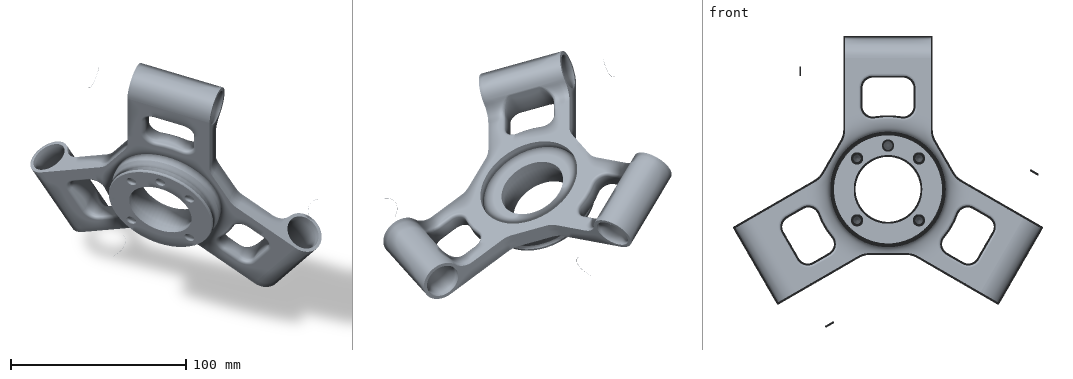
import cadquery as cq
import math

span = 175.7
arm_count = 3
arm_angles = [index * 360.0 / arm_count for index in range(arm_count)]
lower_arm_slope = math.radians(arm_angles[1] - 90)

arm_width = 50.0
plate_thickness = 10.0
tube_diameter = 24.0
tube_radius = tube_diameter / 2
bore_radius = 10.0
blend_radius = 10.0
tip_distance = (span / 2 - arm_width / 2 * math.sin(lower_arm_slope)) / math.cos(lower_arm_slope)
tube_distance = tip_distance - tube_radius

web_inradius = 36.9
web_fillet = 12.5

window_width = 30.0
window_top = 64.1
window_bottom_radius = 41.8
window_corner = 6.3
window_round = 1.8

hub_radius = 32.5
hub_straight = 5.0
groove_radius = 29.9
groove_start = hub_straight + hub_radius - groove_radius
groove_end = 10.5
rim_radius = 31.6
rim_back_taper = 0.9
hub_length = 13.0
rim_front_chamfer = 0.4

hub_bore_radius = 19.0
recess_radius = groove_radius
recess_depth = 5.1

hole_circle_radius = 25.0
screw_count = 4
first_screw_angle = 45.0
screw_radius = 2.6
screw_depth = 10.0
screw_chamfer = 0.4
drill_tip_angle = 118.0
pin_radius = 3.0
pin_depth = 10.0

strip_offset = arm_width
strip_size = 0.09
strip_half_angle = 58.0


def turned(body, angle):
    """The body turned about the hub axis."""
    return body.rotate((0, 0, 0), (0, 1, 0), angle)


def make_arm():
    """Arm pointing along +Z: a flat plate that blends into a tube at its tip."""
    blend_drop = tube_radius + blend_radius
    blend_y = plate_thickness + blend_radius
    blend_z = tube_distance - math.sqrt(blend_drop**2 - (blend_y - tube_radius) ** 2)
    share = tube_radius / blend_drop
    tangent_y = tube_radius + (blend_y - tube_radius) * share
    tangent_z = tube_distance + (blend_z - tube_distance) * share
    to_tube = math.atan2(tangent_z - blend_z, tangent_y - blend_y)
    to_plate = math.pi
    middle = (to_tube + to_plate) / 2
    blend_middle = (blend_y + blend_radius * math.cos(middle), blend_z + blend_radius * math.sin(middle))
    return (
        cq.Workplane("YZ")
        .moveTo(0, 0)
        .lineTo(0, tube_distance)
        .threePointArc((tube_radius, tip_distance), (tangent_y, tangent_z))
        .threePointArc(blend_middle, (blend_y - blend_radius, blend_z))
        .lineTo(plate_thickness, 0)
        .close()
        .extrude(arm_width / 2, both=True)
    )


def make_web():
    """Triangular plate with a corner along each arm and a flat between each pair of arms."""
    corner_radius = 2 * web_inradius
    corners = [
        (corner_radius * math.sin(math.radians(angle)), corner_radius * math.cos(math.radians(angle)))
        for angle in arm_angles
    ]
    return cq.Workplane("XZ").polyline(corners).close().extrude(-plate_thickness)


def fillet_web_corners(plate):
    """Round the concave edges where the arm sides meet the web."""
    corner_z = (web_inradius - arm_width / 2 * math.cos(lower_arm_slope)) / math.sin(lower_arm_slope)
    distance = math.hypot(arm_width / 2, corner_z)
    margin = 0.02

    def is_corner(edge):
        center = edge.Center()
        return abs(math.hypot(center.x, center.z) - distance) < margin

    edges = [edge for edge in plate.edges("|Y").vals() if is_corner(edge)]
    return plate.newObject(edges).fillet(web_fillet)


def make_window():
    """Cutter for a rounded window whose inner side is concentric with the hub."""
    depth = 2 * tube_radius
    block = cq.Workplane("XY").box(window_width, depth, window_top, centered=(True, False, False))
    hub_disc = cq.Workplane("XZ").circle(window_bottom_radius).extrude(-depth)
    return block.cut(hub_disc).edges("|Y").fillet(window_corner)


def cut_window(plate):
    """Cut the window of the arm along +Z and round its edges on the front and the back."""
    plate = plate.cut(make_window())
    margin = 0.02

    def is_window_rim(edge):
        center = edge.Center()
        box = edge.BoundingBox()
        inside_arm = box.xmax - box.xmin < window_width + margin and abs(center.x) < window_width / 2 + margin
        beside_window = window_bottom_radius / 2 < center.z < window_top + margin
        through = box.ymin < margin and box.ymax > plate_thickness - margin
        return inside_arm and beside_window and not through

    rim = [edge for edge in plate.edges().vals() if is_window_rim(edge)]
    return plate.newObject(rim).fillet(window_round)


def make_hub():
    """Turned hub with a groove behind its front rim."""
    profile = [
        (0, 0),
        (hub_radius, 0),
        (hub_radius, -hub_straight),
        (groove_radius, -groove_start),
        (groove_radius, -groove_end),
        (rim_radius, -groove_end - rim_back_taper),
        (rim_radius, -hub_length + rim_front_chamfer),
        (rim_radius - rim_front_chamfer, -hub_length),
        (0, -hub_length),
    ]
    return cq.Workplane("XY").polyline(profile).close().revolve(360, (0, 0, 0), (0, 1, 0))


def make_screw_hole():
    """Cutter for a chamfered blind hole with a drill-point bottom, drilled from the hub face."""
    tip_depth = screw_depth + screw_radius / math.tan(math.radians(drill_tip_angle / 2))
    profile = [
        (0, 0),
        (screw_radius + screw_chamfer, 0),
        (screw_radius, screw_chamfer),
        (screw_radius, screw_depth),
        (0, tip_depth),
    ]
    cutter = cq.Workplane("XY").polyline(profile).close().revolve(360, (0, 0, 0), (0, 1, 0))
    return cutter.translate((0, -hub_length, hole_circle_radius))


def make_spider():
    """Three-armed spider with its hub, windows, bores and holes."""
    plate = make_web()
    for angle in arm_angles:
        plate = plate.union(turned(make_arm(), angle))
    plate = fillet_web_corners(plate)
    for angle in arm_angles:
        plate = turned(cut_window(turned(plate, -angle)), angle)

    tube_bore = (
        cq.Workplane("YZ", origin=(-arm_width / 2, tube_radius, tube_distance))
        .circle(bore_radius)
        .extrude(arm_width)
    )
    for angle in arm_angles:
        plate = plate.cut(turned(tube_bore, angle))

    spider = plate.union(make_hub())
    hub_face = cq.Workplane("XZ", origin=(0, -hub_length, 0))
    spider = spider.cut(hub_face.circle(hub_bore_radius).extrude(-hub_length - plate_thickness))
    back_face = cq.Workplane("XZ", origin=(0, plate_thickness, 0))
    spider = spider.cut(back_face.circle(recess_radius).extrude(recess_depth))
    spider = spider.cut(hub_face.center(0, hole_circle_radius).circle(pin_radius).extrude(-pin_depth))
    for index in range(screw_count):
        spider = spider.cut(turned(make_screw_hole(), first_screw_angle + index * 360.0 / screw_count))
    return spider


def make_strip():
    """Thin arc strip under the bore line of the upper arm, clear of the arm's -X side."""
    half_angle = math.radians(strip_half_angle)
    inner_radius = bore_radius - strip_size

    def arc_point(radius, angle):
        return (radius * math.sin(angle), -radius * math.cos(angle))

    return (
        cq.Workplane("YZ", origin=(-strip_offset, tube_radius, tube_distance))
        .moveTo(*arc_point(bore_radius, -half_angle))
        .threePointArc(arc_point(bore_radius, 0), arc_point(bore_radius, half_angle))
        .lineTo(*arc_point(inner_radius, half_angle))
        .threePointArc(arc_point(inner_radius, 0), arc_point(inner_radius, -half_angle))
        .close()
        .extrude(strip_size)
    )


spider = make_spider()
strips = [turned(make_strip(), angle) for angle in arm_angles]

result = cq.Compound.makeCompound([spider.val(), *[strip.val() for strip in strips]])